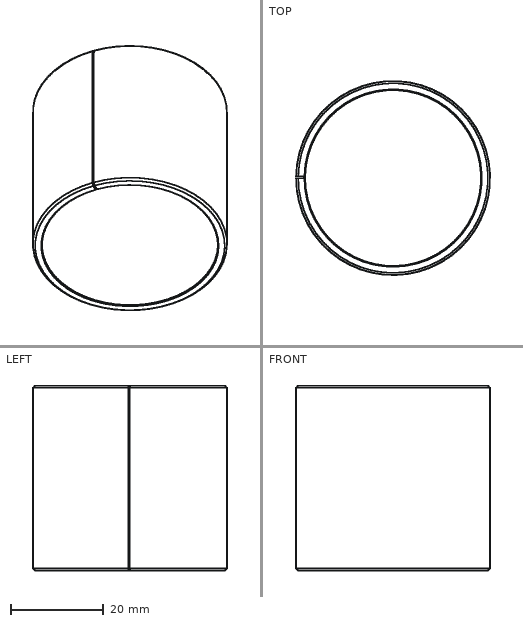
import cadquery as cq

outer_diameter = 42.0
wall_thickness = 2.0
length = 40.0
outer_chamfer = 0.5
inner_chamfer = 0.2

gap_angle = 1.0

outer_radius = outer_diameter / 2
inner_radius = outer_radius - wall_thickness


def make_wall_section():
    """Wall cross-section on the -X side, chamfered at all four corners."""
    half_length = length / 2
    return (
        cq.Workplane("XZ")
        .moveTo(-inner_radius, -half_length + inner_chamfer)
        .lineTo(-inner_radius - inner_chamfer, -half_length)
        .lineTo(-outer_radius + outer_chamfer, -half_length)
        .lineTo(-outer_radius, -half_length + outer_chamfer)
        .lineTo(-outer_radius, half_length - outer_chamfer)
        .lineTo(-outer_radius + outer_chamfer, half_length)
        .lineTo(-inner_radius - inner_chamfer, half_length)
        .lineTo(-inner_radius, half_length - inner_chamfer)
        .close()
    )


axis_start = (0, 0, 0)
axis_end = (0, 1, 0)
result = make_wall_section().revolve(360 - gap_angle, axis_start, axis_end)